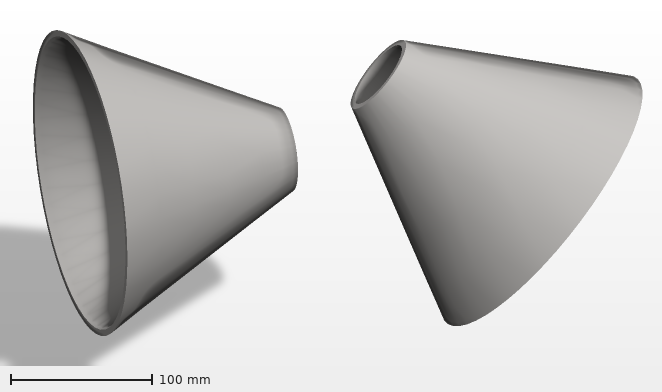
import cadquery as cq

length = 152.0
wide_outer_diameter = 219.1
narrow_outer_diameter = 60.3
wall = 4.5

wide_outer_radius = wide_outer_diameter / 2
narrow_outer_radius = narrow_outer_diameter / 2
wide_inner_radius = wide_outer_radius - wall
narrow_inner_radius = narrow_outer_radius - wall


def reducer_shell():
    """Revolve the sloping wall section around the Y axis."""
    section = (
        cq.Workplane("XY")
        .moveTo(wide_inner_radius, 0)
        .lineTo(wide_outer_radius, 0)
        .lineTo(narrow_outer_radius, length)
        .lineTo(narrow_inner_radius, length)
        .close()
    )
    return section.revolve(360, (0, 0, 0), (0, 1, 0))


result = reducer_shell()